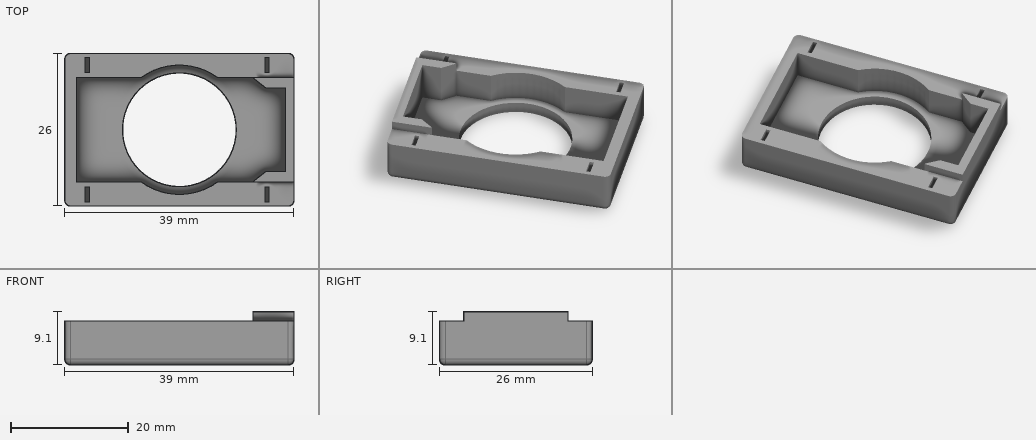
import cadquery as cq

length = 39.02
width = 26.0
body_height = 7.5
edge_radius = 1.0

floor_thickness = 2.0
end_wall = 2.0
pocket_width = 17.8
widening_diameter = 22.0
hole_diameter = 19.3

overall_height = 9.1
collar_length = 7.0
collar_end_wall = 1.5
collar_side_wall = 1.8
arm_flat_length = 4.8
arm_tip_bevel = 0.3

slot_width = 0.75
slot_length = 2.6
slot_depth = 2.0
slot_edge_offset = 0.7
left_slot_offset = 3.87
right_slot_offset = 4.6

x_min = -length / 2
x_max = length / 2


def make_body():
    """Block with rounded vertical corners and a rounded bottom edge."""
    block = cq.Workplane("XY").box(length, width, body_height, centered=(True, True, False))
    return block.edges("|Z").fillet(edge_radius).faces("<Z").edges().fillet(edge_radius)


def make_pocket():
    """Volume removed above the floor, running up to the +X face."""
    pocket_length = length - end_wall
    channel = (
        cq.Workplane("XY", origin=(x_min + end_wall + pocket_length / 2, 0, floor_thickness))
        .box(pocket_length, pocket_width, overall_height, centered=(True, True, False))
    )
    widening = (
        cq.Workplane("XY", origin=(0, 0, floor_thickness))
        .circle(widening_diameter / 2)
        .extrude(overall_height)
    )
    return channel.union(widening)


def make_collar():
    """U-shaped wall; each arm has a 45 degree bevel at its tip, then a shallower slope."""
    outer_y = pocket_width / 2
    inner_y = outer_y - collar_side_wall
    tip_x = x_max - collar_length
    bevel_x = tip_x + arm_tip_bevel
    bevel_y = outer_y - arm_tip_bevel
    taper_end_x = x_max - arm_flat_length
    inner_x = x_max - collar_end_wall
    outline = [
        (tip_x, -outer_y),
        (x_max, -outer_y),
        (x_max, outer_y),
        (tip_x, outer_y),
        (bevel_x, bevel_y),
        (taper_end_x, inner_y),
        (inner_x, inner_y),
        (inner_x, -inner_y),
        (taper_end_x, -inner_y),
        (bevel_x, -bevel_y),
    ]
    return (
        cq.Workplane("XY", origin=(0, 0, floor_thickness))
        .polyline(outline)
        .close()
        .extrude(overall_height - floor_thickness)
    )


def make_slots():
    """Slots near the four corners of the rim, mirrored about the X axis."""
    slot_y = width / 2 - slot_edge_offset - slot_length / 2
    centres = []
    for slot_x in (x_min + left_slot_offset, x_max - right_slot_offset):
        centres += [(slot_x, slot_y), (slot_x, -slot_y)]
    return (
        cq.Workplane("XY", origin=(0, 0, body_height - slot_depth))
        .pushPoints(centres)
        .rect(slot_width, slot_length)
        .extrude(slot_depth)
    )


hole = cq.Workplane("XY").circle(hole_diameter / 2).extrude(floor_thickness)

result = make_body().cut(make_pocket()).union(make_collar()).cut(make_slots()).cut(hole)